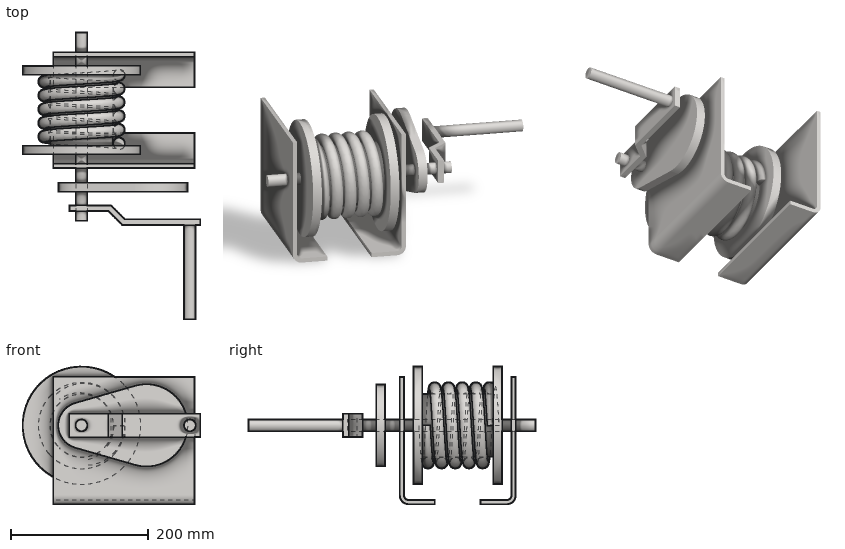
import cadquery as cq
import math


rod_diameter = 17.1
shaft_back_y = 113.0
shaft_front_y = -160.5

flange_radius = 85.5
flange_thickness = 13.0
flange_gap = 102.6
hub_radius = 45.7
flange_inner_y = flange_gap / 2

rope_radius = 8.4
rope_coil_radius = 54.4
rope_pitch = 19.9
rope_turns = 5
rope_start_y = -48.3

bracket_outer_y = 84.2
bracket_thickness = 6.35
bracket_bend_radius = 13.0
bracket_foot_length = 51.2
bracket_left_x = -41.3
bracket_width = 205.4
bracket_top_z = 70.4
bracket_bottom_z = -114.61

cover_small_radius = 33.7
cover_large_radius = 59.7
cover_centre_distance = 94.3
cover_thickness = 13.2
cover_back_y = -105.2

arm_thickness = 8.5
arm_width = 34.3
arm_left_x = -17.5
arm_right_x = 172.48
arm_bend_x = 42.6
arm_back_y = -138.0
arm_jog_angle = 45.0
arm_jog = 20.2
arm_jog_run = arm_jog / math.tan(math.radians(arm_jog_angle))
handle_x = 157.3
handle_end_y = -303.78


def cylinder_along_y(radius, y_start, y_end, x=0.0):
    """Solid cylinder parallel to Y between two Y positions."""
    length = y_end - y_start
    return cq.Workplane("XZ", origin=(x, y_start, 0)).circle(radius).extrude(-length)


shaft = cylinder_along_y(rod_diameter / 2, shaft_front_y, shaft_back_y)


def make_rope():
    """Round rope swept along a helix, wound along Z and then turned onto the Y axis."""
    helix = cq.Wire.makeHelix(rope_pitch, rope_pitch * rope_turns, rope_coil_radius)
    lead_rise = rope_pitch / (2 * math.pi * rope_coil_radius)
    start_plane = cq.Plane(
        origin=(rope_coil_radius, 0, 0),
        xDir=(1, 0, 0),
        normal=(0, 1, lead_rise),
    )
    coil = cq.Workplane(start_plane).circle(rope_radius).sweep(cq.Workplane(obj=helix), isFrenet=True)
    return coil.rotate((0, 0, 0), (1, 0, 0), -90).translate((0, rope_start_y, 0))


def make_drum(rope_body):
    """Hub between two flanges, recessed where the rope ends run into the flanges."""
    hub = cylinder_along_y(hub_radius, -flange_inner_y, flange_inner_y)
    flange_outer_y = flange_inner_y + flange_thickness
    front_flange = cylinder_along_y(flange_radius, -flange_outer_y, -flange_inner_y).cut(rope_body)
    back_flange = cylinder_along_y(flange_radius, flange_inner_y, flange_outer_y).cut(rope_body)
    return hub.union(front_flange).union(back_flange).cut(shaft)


def make_bracket(side):
    """Upright plate bent inwards into a foot; side is -1 at the front and 1 at the back."""
    outer_y = side * bracket_outer_y
    inner_y = side * (bracket_outer_y - bracket_thickness)
    foot_end_y = side * (bracket_outer_y - bracket_foot_length)
    foot_top_z = bracket_bottom_z + bracket_thickness
    profile = (
        cq.Workplane("YZ", origin=(bracket_left_x, 0, 0))
        .moveTo(outer_y, bracket_top_z)
        .lineTo(outer_y, bracket_bottom_z)
        .lineTo(foot_end_y, bracket_bottom_z)
        .lineTo(foot_end_y, foot_top_z)
        .lineTo(inner_y, foot_top_z)
        .lineTo(inner_y, bracket_top_z)
        .close()
        .extrude(bracket_width)
    )

    def bend_edge(y, z):
        middle = (bracket_left_x + bracket_width / 2, y, z)
        return cq.selectors.NearestToPointSelector(middle)

    inner_radius = bracket_bend_radius - bracket_thickness
    bent = profile.edges(bend_edge(outer_y, bracket_bottom_z)).fillet(bracket_bend_radius)
    return bent.edges(bend_edge(inner_y, foot_top_z)).fillet(inner_radius).cut(shaft)


def make_cover():
    """Plate bounded by two arcs and their common tangents."""
    slope = (cover_large_radius - cover_small_radius) / cover_centre_distance
    rise = math.sqrt(1 - slope**2)
    small_x = -cover_small_radius * slope
    small_z = cover_small_radius * rise
    large_x = cover_centre_distance - cover_large_radius * slope
    large_z = cover_large_radius * rise
    return (
        cq.Workplane("XZ", origin=(0, cover_back_y, 0))
        .moveTo(small_x, small_z)
        .lineTo(large_x, large_z)
        .threePointArc((cover_centre_distance + cover_large_radius, 0), (large_x, -large_z))
        .lineTo(small_x, -small_z)
        .threePointArc((-cover_small_radius, 0), (small_x, small_z))
        .close()
        .extrude(cover_thickness)
        .cut(shaft)
    )


def make_crank():
    """Flat arm with a slanted jog, carrying a round handle at its outer end."""
    bend_shift = arm_thickness * math.tan(math.radians(arm_jog_angle / 2))
    inner_front_y = arm_back_y - arm_thickness
    outer_back_y = arm_back_y - arm_jog
    outer_front_y = outer_back_y - arm_thickness
    arm = (
        cq.Workplane("XY")
        .moveTo(arm_left_x, arm_back_y)
        .lineTo(arm_bend_x, arm_back_y)
        .lineTo(arm_bend_x + arm_jog_run, outer_back_y)
        .lineTo(arm_right_x, outer_back_y)
        .lineTo(arm_right_x, outer_front_y)
        .lineTo(arm_bend_x + arm_jog_run - bend_shift, outer_front_y)
        .lineTo(arm_bend_x - bend_shift, inner_front_y)
        .lineTo(arm_left_x, inner_front_y)
        .close()
        .extrude(arm_width / 2, both=True)
    )
    handle = cylinder_along_y(rod_diameter / 2, handle_end_y, outer_front_y, handle_x)
    return arm.union(handle).cut(shaft)


rope = make_rope()
drum = make_drum(rope)
brackets = [make_bracket(side) for side in (-1, 1)]
cover = make_cover()
crank = make_crank()

result = cq.Compound.makeCompound(
    [
        shaft.val(),
        rope.val(),
        drum.val(),
        *[bracket.val() for bracket in brackets],
        cover.val(),
        crank.val(),
    ]
)